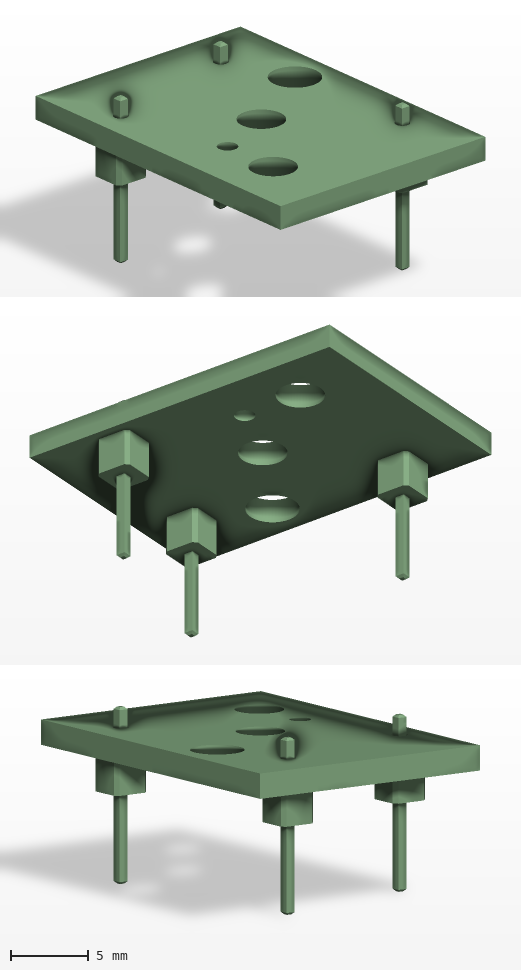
import cadquery as cq

BOARD_LENGTH = 24.0
BOARD_WIDTH = 17.4
BOARD_THICKNESS = 1.65

LARGE_HOLE = (-3.43, 5.9, 3.5)
CENTRE_HOLE = (0.38, -0.26, 3.2)
SIDE_HOLE = (6.77, -4.8, 3.2)
SMALL_HOLE = (2.33, -4.82, 1.4)

HEADER_POSITIONS = [(-8.5, 3.98), (-5.98, -6.7), (6.77, 6.2)]
BLOCK_SIZE = 2.55
BLOCK_CORNER_CHAMFER = 0.26
PIN_SIDE = 0.65
PIN_LENGTH = 11.55
PIN_TAIL = 6.0
PIN_TIP_CHAMFER = 0.16
PIN_HOLE_DIAMETER = 1.0

PIN_BOTTOM = -(BLOCK_SIZE + PIN_TAIL)


def make_board():
    """Flat board with its plain holes and the clearance holes for the pins."""
    board = cq.Workplane("XY").box(
        BOARD_LENGTH, BOARD_WIDTH, BOARD_THICKNESS, centered=(True, True, False)
    )
    pin_holes = [(x, y, PIN_HOLE_DIAMETER) for x, y in HEADER_POSITIONS]
    for x, y, diameter in [LARGE_HOLE, CENTRE_HOLE, SIDE_HOLE, SMALL_HOLE] + pin_holes:
        hole = cq.Workplane("XY").center(x, y).circle(diameter / 2).extrude(BOARD_THICKNESS)
        board = board.cut(hole)
    return board


def make_header(x, y):
    """One-pin header: block with chamfered upright corners and a pin with tapered tips."""
    block = (
        cq.Workplane("XY")
        .rect(BLOCK_SIZE, BLOCK_SIZE)
        .extrude(-BLOCK_SIZE)
        .edges("|Z")
        .chamfer(BLOCK_CORNER_CHAMFER)
    )
    pin = (
        cq.Workplane("XY")
        .workplane(offset=PIN_BOTTOM)
        .rect(PIN_SIDE, PIN_SIDE)
        .extrude(PIN_LENGTH)
        .faces("<Z or >Z")
        .chamfer(PIN_TIP_CHAMFER)
    )
    return block.union(pin).translate((x, y, 0))


board = make_board()
headers = [make_header(x, y) for x, y in HEADER_POSITIONS]

result = cq.Compound.makeCompound([body.solids().val() for body in [board, *headers]])